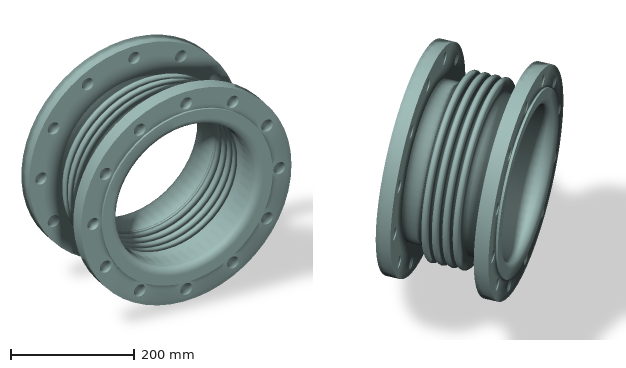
import cadquery as cq
import math

diagonal = math.sqrt(0.5)

total_length = 200.0
pipe_outer_radius = 273.0 / 2
pipe_bore_radius = 260.4 / 2

lip_radius = 320.0 / 2
lip_thickness = 4.0
mouth_radius = 12.0

flange_radius = 395.0 / 2
flange_thickness = 25.0
flange_bore_radius = 275.0 / 2
bolt_hole_diameter = 22.0
bolt_circle_radius = 350.0 / 2
bolt_count = 12

neck_outer_radius = 269.98 / 2
neck_bore_radius = 261.98 / 2
neck_length = 3.1

crest_count = 4
pitch = 17.8
wall = 1.6
crest_radius = 321.5 / 2
root_radius = 4.2
root_center_radius = neck_outer_radius + root_radius
crest_bend_radius = pitch / 2 - root_radius
crest_center_radius = crest_radius - crest_bend_radius

half_length = total_length / 2
flange_face = half_length - lip_thickness
bellows_half_length = crest_count * pitch / 2
pipe_end = bellows_half_length + neck_length


def add_convolutions(outline, direction, root_bend, crest_bend):
    """Carry the outline over every crest, from one end root to the other (direction is +1 or -1)."""
    for index in range(crest_count):
        root_x = direction * (index * pitch - bellows_half_length)
        crest_x = root_x + direction * pitch / 2
        next_root_x = root_x + direction * pitch
        root_mid_x = direction * root_bend * diagonal
        root_mid_radius = root_center_radius - root_bend * diagonal
        root_low_radius = root_center_radius - root_bend
        outline = (
            outline.threePointArc(
                (root_x + root_mid_x, root_mid_radius),
                (root_x + direction * root_bend, root_center_radius),
            )
            .lineTo(crest_x - direction * crest_bend, crest_center_radius)
            .threePointArc(
                (crest_x, crest_center_radius + crest_bend),
                (crest_x + direction * crest_bend, crest_center_radius),
            )
            .lineTo(next_root_x - direction * root_bend, root_center_radius)
            .threePointArc((next_root_x - root_mid_x, root_mid_radius), (next_root_x, root_low_radius))
        )
    return outline


def make_bellows_pipe():
    """Lipped pipe, neck, bellows, neck and lipped pipe, revolved about X as one thin-walled body."""
    mouth_edge_radius = pipe_bore_radius + mouth_radius
    mouth_mid = mouth_radius * (1 - diagonal)
    root_inner_bend = root_radius + wall
    outline = (
        cq.Workplane("XY")
        .moveTo(-half_length, mouth_edge_radius)
        .lineTo(-half_length, lip_radius)
        .lineTo(-flange_face, lip_radius)
        .lineTo(-flange_face, pipe_outer_radius)
        .lineTo(-pipe_end, pipe_outer_radius)
        .lineTo(-pipe_end, neck_outer_radius)
        .lineTo(-bellows_half_length, neck_outer_radius)
    )
    outline = add_convolutions(outline, 1, root_radius, crest_bend_radius)
    outline = (
        outline.lineTo(pipe_end, neck_outer_radius)
        .lineTo(pipe_end, pipe_outer_radius)
        .lineTo(flange_face, pipe_outer_radius)
        .lineTo(flange_face, lip_radius)
        .lineTo(half_length, lip_radius)
        .lineTo(half_length, mouth_edge_radius)
        .threePointArc(
            (half_length - mouth_mid, pipe_bore_radius + mouth_mid),
            (half_length - mouth_radius, pipe_bore_radius),
        )
        .lineTo(pipe_end, pipe_bore_radius)
        .lineTo(pipe_end, neck_bore_radius)
        .lineTo(bellows_half_length, neck_bore_radius)
        .lineTo(bellows_half_length, root_center_radius - root_inner_bend)
    )
    outline = add_convolutions(outline, -1, root_inner_bend, crest_bend_radius - wall)
    outline = (
        outline.lineTo(-bellows_half_length, neck_bore_radius)
        .lineTo(-pipe_end, neck_bore_radius)
        .lineTo(-pipe_end, pipe_bore_radius)
        .lineTo(mouth_radius - half_length, pipe_bore_radius)
        .threePointArc(
            (mouth_mid - half_length, pipe_bore_radius + mouth_mid),
            (-half_length, mouth_edge_radius),
        )
        .close()
    )
    return outline.revolve(360, (0, 0, 0), (1, 0, 0))


def make_flange(start_x, bore_radius):
    """Drilled flange ring reaching flange_thickness toward +X from start_x."""
    return (
        cq.Workplane("YZ", origin=(start_x, 0, 0))
        .circle(flange_radius)
        .circle(bore_radius)
        .extrude(flange_thickness)
        .faces(">X")
        .workplane(origin=(0, 0, 0))
        .polarArray(bolt_circle_radius, 0, 360, bolt_count)
        .hole(bolt_hole_diameter)
    )


fixed_flange = make_flange(-flange_face, pipe_outer_radius)
bellows_pipe = make_bellows_pipe().union(fixed_flange)
loose_flange = make_flange(flange_face - flange_thickness, flange_bore_radius)

result = cq.Compound.makeCompound([bellows_pipe.val(), loose_flange.val()])